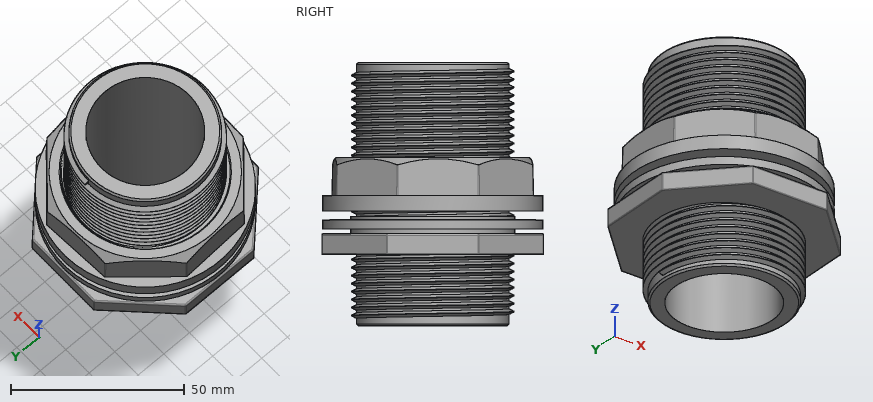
import math

import cadquery as cq


SIDES = 8
HALF_CORNER = math.pi / SIDES

pipe_length = 76.0
bore_radius = 17.15
pipe_radius = 22.05
pipe_chamfer = 0.6

pitch = 25.4 / 11
thread_depth = 1.43
thread_crest = 0.15
thread_half_angle = math.radians(27.5)
thread_start_z = 2.4
thread_start_angle = 180.0
thread_turns = 30.75
thread_embed = 0.2
nut_thread_clearance = 0.7

flange_bottom = 20.6
flange_top = 26.6
flange_apothem = 32.0
flange_round = 0.5
flange_bottom_round = 0.25
collar_radius = 23.68
collar_top = 31.6

disc_radius = 31.8
washer_bottom = 27.9
washer_thickness = 2.6
washer_lip_radius = 29.65
washer_lip_height = 0.25

nut_bottom = 33.1
nut_flange_thickness = 4.5
nut_head_bottom = nut_bottom + nut_flange_thickness
nut_top = 48.6
nut_apothem = 28.5
nut_turn = 3.1
nut_draft = 1.2
nut_corner_round = 0.5
nut_top_radius = 27.75
nut_top_slope = math.radians(37)
recess_radius = 24.85
recess_floor_radius = 24.5
recess_depth = 0.5


def cylinder(radius, bottom, top):
    return cq.Workplane("XY").workplane(offset=bottom).circle(radius).extrude(top - bottom)


def octagon(apothem, bottom, top, draft=0.0):
    """Octagonal prism with two sides facing along X; it narrows upward by the draft angle."""
    corner_diameter = 2 * apothem / math.cos(HALF_CORNER)
    return (
        cq.Workplane("XY")
        .workplane(offset=bottom)
        .transformed(rotate=(0, 0, math.degrees(HALF_CORNER)))
        .polygon(SIDES, corner_diameter)
        .extrude(top - bottom, taper=draft)
    )


def thread_ridge(core_radius, first_turn, last_turn):
    """Helical ridge of trapezoidal section on a core of the given radius.

    Turns are counted along the body thread, so every ridge lies on the same helix.
    """
    inner = core_radius - thread_embed
    outer = core_radius + thread_depth
    half_crest = thread_crest / 2
    half_base = half_crest + (outer - inner) * math.tan(thread_half_angle)
    helix = cq.Wire.makeHelix(pitch, (last_turn - first_turn) * pitch, core_radius)
    ridge = (
        cq.Workplane("XZ")
        .polyline([(inner, -half_base), (outer, -half_crest), (outer, half_crest), (inner, half_base)])
        .close()
        .sweep(cq.Workplane(obj=helix), isFrenet=True)
    )
    start_angle = thread_start_angle + 360 * first_turn
    start_z = thread_start_z + pitch * first_turn
    return ridge.rotate((0, 0, 0), (0, 0, 1), start_angle).translate((0, 0, start_z))


def turn_at(z):
    """Number of thread turns, counted from the thread start, that reach height z."""
    return (z - thread_start_z) / pitch


def make_body():
    pipe = cylinder(pipe_radius, 0, pipe_length).faces("<Z or >Z").edges().chamfer(pipe_chamfer)
    flange = octagon(flange_apothem, flange_bottom, flange_top)
    flange = flange.edges("|Z").fillet(flange_round)
    flange = flange.faces(">Z").edges().fillet(flange_round)
    flange = flange.faces("<Z").edges().fillet(flange_bottom_round)
    collar = cylinder(collar_radius, flange_bottom, collar_top)
    bore = cylinder(bore_radius, 0, pipe_length)
    lower_thread = thread_ridge(pipe_radius, 0, turn_at(flange_bottom) + 1)
    upper_thread = thread_ridge(pipe_radius, turn_at(collar_top) - 1, thread_turns)
    threaded_pipe = pipe.union(lower_thread).union(upper_thread)
    return threaded_pipe.union(collar).union(flange).cut(bore)


def make_washer():
    washer_top = washer_bottom + washer_thickness
    lip_top = washer_top + washer_lip_height
    disc = cylinder(disc_radius, washer_bottom, washer_top)
    lip = cylinder(washer_lip_radius, washer_bottom, lip_top)
    return disc.union(lip).cut(cylinder(collar_radius, washer_bottom, lip_top))


def make_nut_head():
    """Octagonal head whose top corners are cut by a cone."""
    head = octagon(nut_apothem, nut_head_bottom, nut_top, nut_draft)
    head = head.edges("not #Z").fillet(nut_corner_round)
    head = head.rotate((0, 0, 0), (0, 0, 1), nut_turn)
    cone_drop = (disc_radius - nut_top_radius) * math.tan(nut_top_slope)
    cone_limit = (
        cq.Workplane("XZ")
        .moveTo(0, nut_head_bottom)
        .lineTo(disc_radius, nut_head_bottom)
        .lineTo(disc_radius, nut_top - cone_drop)
        .lineTo(nut_top_radius, nut_top)
        .lineTo(0, nut_top)
        .close()
        .revolve()
    )
    return head.intersect(cone_limit)


def make_nut_recess():
    """Shallow tapered recess around the threaded hole."""
    return (
        cq.Workplane("XY")
        .workplane(offset=nut_top)
        .circle(recess_radius)
        .workplane(offset=-recess_depth)
        .circle(recess_floor_radius)
        .loft()
    )


def make_nut():
    hole_radius = pipe_radius + nut_thread_clearance
    nut = cylinder(disc_radius, nut_bottom, nut_head_bottom).union(make_nut_head())
    thread_bottom = nut_bottom - pitch
    thread_top = nut_top + pitch
    core = cylinder(hole_radius, thread_bottom - pitch, thread_top + pitch)
    core = core.union(thread_ridge(hole_radius, turn_at(thread_bottom), turn_at(thread_top)))
    return nut.cut(core).cut(make_nut_recess())


body = make_body()
washer = make_washer()
nut = make_nut()

result = cq.Compound.makeCompound([body.val(), washer.val(), nut.val()])